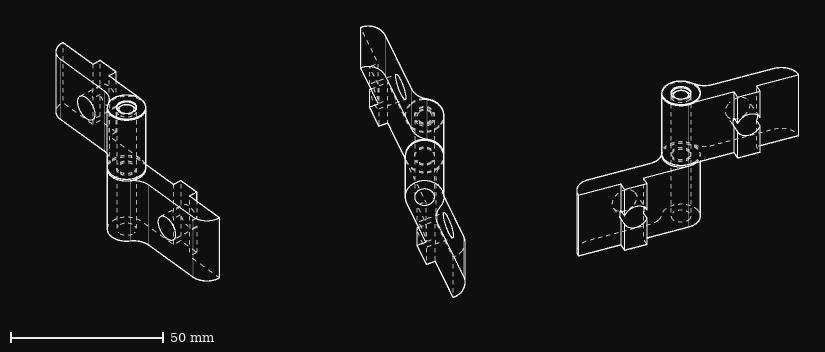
import cadquery as cq
import math

half_span = 39.25
leaf_height = 25.35
leaf_gap = 0.7
barrel_radius = 6.35
plate_thickness = barrel_radius
end_round = 6.1
web_fillet = barrel_radius

hole_offset = 20.2
hole_diameter = 8.7
lug_width = 8.0
lug_depth = 3.15

pin_radius = 3.2
washer_radius = 6.3
washer_bore = 3.3
top_washer = 0.5
pin_recess = 0.9
pin_chamfer = 0.8

lower_top = -leaf_gap / 2
lower_bottom = lower_top - leaf_height
upper_bottom = leaf_gap / 2
upper_top = upper_bottom + leaf_height
top_seat = upper_top - top_washer


def cylinder(radius, bottom, top):
    """Cylinder on the hinge axis between two heights."""
    return cq.Workplane("XY").workplane(offset=bottom).circle(radius).extrude(top - bottom)


def plate_profile():
    """Outline of the left plate, ending on the hinge axis."""
    centre_distance = barrel_radius + web_fillet
    blend_x = -math.sqrt(centre_distance**2 - web_fillet**2)
    blend_y = -web_fillet
    touch_ratio = barrel_radius / centre_distance
    touch = (blend_x * touch_ratio, blend_y * touch_ratio)
    touch_angle = math.atan2(touch[1] - blend_y, touch[0] - blend_x)
    middle_angle = (math.pi / 2 + touch_angle) / 2
    blend_middle = (
        blend_x + web_fillet * math.cos(middle_angle),
        blend_y + web_fillet * math.sin(middle_angle),
    )
    round_offset = end_round * math.sqrt(0.5)
    round_middle = (-half_span + end_round - round_offset, end_round - round_offset)
    return (
        cq.Workplane("XY")
        .moveTo(0, plate_thickness)
        .lineTo(-half_span, plate_thickness)
        .lineTo(-half_span, end_round)
        .threePointArc(round_middle, (-half_span + end_round, 0))
        .lineTo(blend_x, 0)
        .threePointArc(blend_middle, touch)
        .lineTo(0, 0)
        .close()
    )


def make_leaf():
    """Left leaf without its bore, standing on Z = 0."""
    lug = (
        cq.Workplane("XY")
        .center(-hole_offset, plate_thickness)
        .rect(lug_width, 2 * lug_depth)
        .extrude(leaf_height)
    )
    mounting_hole = (
        cq.Workplane("XZ", origin=(-hole_offset, 0, leaf_height / 2))
        .circle(hole_diameter / 2)
        .extrude(plate_thickness + lug_depth, both=True)
    )
    plate = plate_profile().extrude(leaf_height).union(lug).cut(mounting_hole)
    return plate.union(cylinder(barrel_radius, 0, leaf_height))


def make_upper_leaf():
    """Left leaf, bored for the pin, with a seat for the top washer."""
    leaf = make_leaf().translate((0, 0, upper_bottom))
    seat = cylinder(barrel_radius, top_seat, upper_top)
    return leaf.cut(seat).cut(cylinder(pin_radius, upper_bottom, upper_top))


def make_lower_leaf():
    """Right leaf, bored for the pin."""
    leaf = make_leaf().mirror("YZ").translate((0, 0, lower_bottom))
    return leaf.cut(cylinder(pin_radius, lower_bottom, lower_top))


def make_washer(bottom, top):
    """Flat ring around the hinge axis between two heights."""
    return cylinder(washer_radius, bottom, top).cut(cylinder(washer_bore, bottom, top))


def make_pin():
    """Hinge pin, chamfered at its top end and flush with the lower leaf's bottom."""
    pin = cylinder(pin_radius, lower_bottom, upper_top - pin_recess)
    return pin.faces(">Z").chamfer(pin_chamfer)


upper_leaf = make_upper_leaf()
lower_leaf = make_lower_leaf()
pin = make_pin()
washers = [
    make_washer(bottom, top).val()
    for bottom, top in ((top_seat, upper_top), (lower_top, upper_bottom))
]

result = cq.Compound.makeCompound([upper_leaf.val(), lower_leaf.val(), pin.val(), *washers])